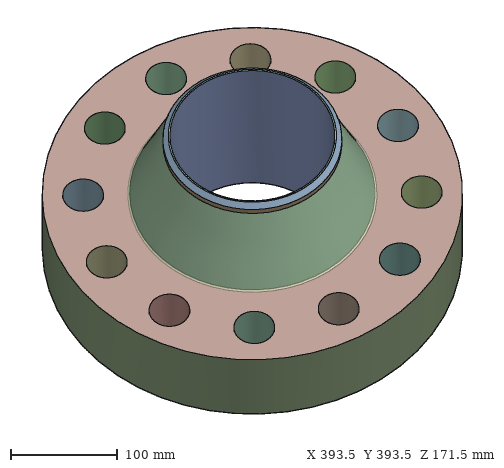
import cadquery as cq
import math

flange_diameter = 393.5
flange_thickness = 83.0
total_height = 171.5

bore_diameter = 154.3
neck_diameter = 167.5
neck_tip_diameter = 157.5
weld_bevel_height = 4.7
neck_band_height = 6.0
hub_base_diameter = 230.5
hub_fillet_radius = 2.0

bolt_count = 12
bolt_hole_diameter = 38.0
bolt_circle_diameter = 317.0

bevel_base_z = total_height - weld_bevel_height
cone_top_z = bevel_base_z - neck_band_height


def make_hub_fillet_points():
    """Start, middle and end (radius, z) of the fillet between flange face and cone."""
    base_radius = hub_base_diameter / 2
    cone_slope = math.atan2(cone_top_z - flange_thickness, base_radius - neck_diameter / 2)
    tangent_length = hub_fillet_radius * math.tan(cone_slope / 2)
    center_r = base_radius + tangent_length
    center_z = flange_thickness + hub_fillet_radius
    start = (center_r, flange_thickness)
    middle = (
        center_r - hub_fillet_radius * math.sin(cone_slope / 2),
        center_z - hub_fillet_radius * math.cos(cone_slope / 2),
    )
    end = (
        center_r - hub_fillet_radius * math.sin(cone_slope),
        center_z - hub_fillet_radius * math.cos(cone_slope),
    )
    return start, middle, end


def make_body():
    """Revolve the half section of flange, hub and bore about Z."""
    fillet_start, fillet_middle, fillet_end = make_hub_fillet_points()
    return (
        cq.Workplane("XZ")
        .moveTo(bore_diameter / 2, 0)
        .lineTo(flange_diameter / 2, 0)
        .lineTo(flange_diameter / 2, flange_thickness)
        .lineTo(*fillet_start)
        .threePointArc(fillet_middle, fillet_end)
        .lineTo(neck_diameter / 2, cone_top_z)
        .lineTo(neck_diameter / 2, bevel_base_z)
        .lineTo(neck_tip_diameter / 2, total_height)
        .lineTo(bore_diameter / 2, total_height)
        .close()
        .revolve(360, (0, 0, 0), (0, 1, 0))
    )


def make_bolt_holes():
    """Through holes spread evenly on the bolt circle, the first on +X."""
    return (
        cq.Workplane("XY")
        .polarArray(bolt_circle_diameter / 2, 0, 360, bolt_count)
        .circle(bolt_hole_diameter / 2)
        .extrude(flange_thickness)
    )


result = make_body().cut(make_bolt_holes())